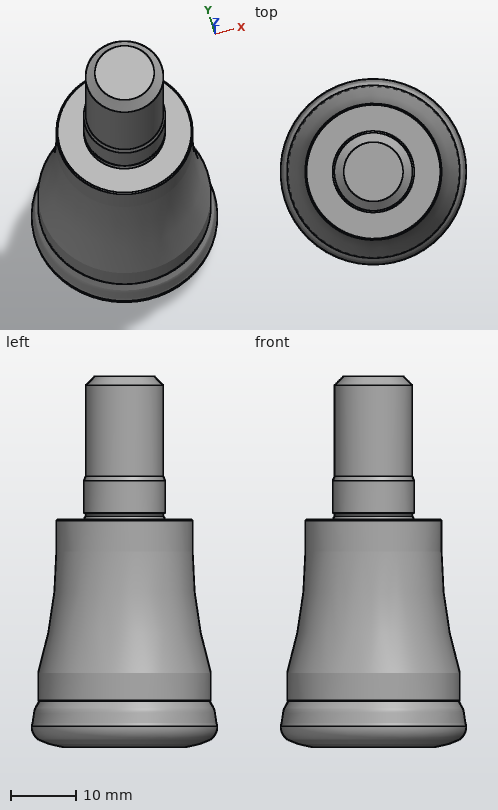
import cadquery as cq

total_height = 57.0
collar_top_z = 40.9
collar_base_z = 36.0
shoulder_z = 35.0
flare_top_z = 30.05
flare_base_z = 11.45
seat_z = 7.05

stem_radius = 6.0
stem_tip_chamfer = 1.4
collar_radius = 6.25
collar_taper_height = 0.7
neck_taper_height = 0.15
neck_flare_height = 0.5
neck_flare_width = 0.3

body_top_radius = 10.5
body_base_radius = 13.3
shoulder_chamfer = 0.2
base_chamfer = 0.15

foot_top = (body_base_radius - base_chamfer, seat_z)
foot_cone_base = (13.75, 6.0)
foot_edge = (13.8, 5.8)
foot_wall_top = (13.9, 5.3)
foot_wall_base = (14.15, 3.75)
foot_widest = (14.28, 3.25)
foot_corner = (13.2, 1.2)
foot_rim = (11.55, 0.5)
foot_bottom = (9.3, 0)


def upright_arc_radius(rise, spread):
    """Radius of an arc that is vertical at one end and ends `rise` and `spread` away."""
    return (rise**2 + spread**2) / (2 * spread)


def turn(profile):
    """Solid of revolution about the Z axis from a closed half profile."""
    return profile.revolve(360, (0, 0, 0), (0, 1, 0))


def make_body():
    """Flared body and its stem in one piece."""
    flare_radius = upright_arc_radius(flare_top_z - flare_base_z, body_base_radius - body_top_radius)
    profile = (
        cq.Workplane("XZ")
        .moveTo(0, seat_z)
        .lineTo(body_base_radius - base_chamfer, seat_z)
        .lineTo(body_base_radius, seat_z + base_chamfer)
        .lineTo(body_base_radius, flare_base_z)
        .radiusArc((body_top_radius, flare_top_z), flare_radius)
        .lineTo(body_top_radius, shoulder_z - shoulder_chamfer)
        .lineTo(body_top_radius - shoulder_chamfer, shoulder_z)
        .lineTo(stem_radius + neck_flare_width, shoulder_z)
        .lineTo(stem_radius, shoulder_z + neck_flare_height)
        .lineTo(stem_radius, collar_base_z - neck_taper_height)
        .lineTo(collar_radius, collar_base_z)
        .lineTo(collar_radius, collar_top_z)
        .lineTo(stem_radius, collar_top_z + collar_taper_height)
        .lineTo(stem_radius, total_height - stem_tip_chamfer)
        .lineTo(stem_radius - stem_tip_chamfer, total_height)
        .lineTo(0, total_height)
        .close()
    )
    return turn(profile)


def make_foot():
    """Rounded foot that the body stands on."""
    corner_radius = upright_arc_radius(foot_widest[1] - foot_corner[1], foot_widest[0] - foot_corner[0])
    profile = (
        cq.Workplane("XZ")
        .moveTo(0, seat_z)
        .lineTo(*foot_top)
        .lineTo(*foot_cone_base)
        .lineTo(*foot_edge)
        .tangentArcPoint(foot_wall_top, relative=False)
        .lineTo(*foot_wall_base)
        .lineTo(*foot_widest)
        .radiusArc(foot_corner, corner_radius)
        .lineTo(*foot_rim)
        .lineTo(*foot_bottom)
        .lineTo(0, 0)
        .close()
    )
    return turn(profile)


body = make_body()
foot = make_foot()
result = cq.Compound.makeCompound([body.val(), foot.val()])